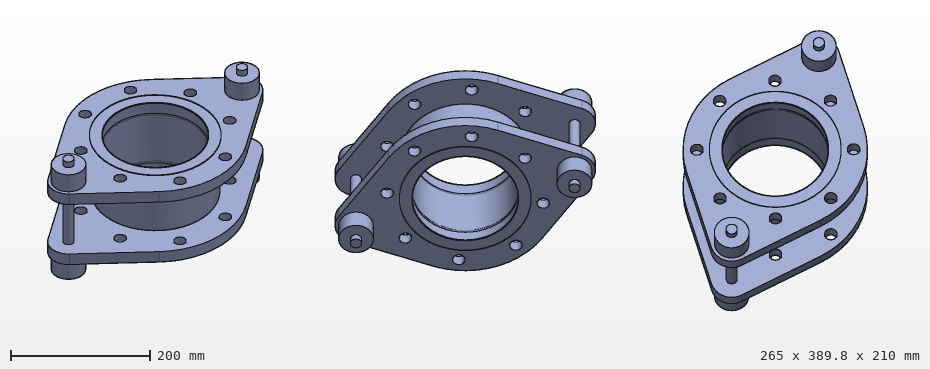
import cadquery as cq
import math

total_length = 389.8
flange_radius = 132.5
lug_radius = 30.0
lug_offset = total_length / 2 - lug_radius
flange_thickness = 19.0
flange_outer_z = 64.0

face_radius = 94.7
face_bore_radius = 76.8
face_outer_z = 65.0

bolt_count = 8
bolt_circle_radius = 112.5
bolt_hole_diameter = 18.0

bore_radius = 76.0
neck_radius = 77.0
body_radius = 93.0
body_half_height = 38.5
body_edge_round = 2.7
neck_root_round = 3.0

rod_diameter = 16.0
rod_half_length = 210.0 / 2
boss_diameter = 50.0
boss_outer_z = 94.7

lug_positions = [(0, lug_offset), (0, -lug_offset)]


def flange_outline(plane):
    """Middle arcs joined to the lug arcs by their common tangent lines."""
    tangent_angle = math.asin((flange_radius - lug_radius) / lug_offset)
    across = math.cos(tangent_angle)
    along = math.sin(tangent_angle)
    side_x = flange_radius * across
    side_y = flange_radius * along
    lug_x = lug_radius * across
    lug_y = lug_offset + lug_radius * along
    return (
        plane.moveTo(side_x, -side_y)
        .threePointArc((flange_radius, 0), (side_x, side_y))
        .lineTo(lug_x, lug_y)
        .threePointArc((0, total_length / 2), (-lug_x, lug_y))
        .lineTo(-side_x, side_y)
        .threePointArc((-flange_radius, 0), (-side_x, -side_y))
        .lineTo(-lug_x, -lug_y)
        .threePointArc((0, -total_length / 2), (lug_x, -lug_y))
        .close()
    )


def upper_flange():
    """Top flange with its sealing ring, bolt holes and rod bosses."""
    inner_z = flange_outer_z - flange_thickness
    plate = flange_outline(cq.Workplane("XY", origin=(0, 0, inner_z))).extrude(flange_thickness)
    face = (
        cq.Workplane("XY", origin=(0, 0, flange_outer_z))
        .circle(face_radius)
        .circle(face_bore_radius)
        .extrude(face_outer_z - flange_outer_z)
    )
    bosses = (
        cq.Workplane("XY", origin=(0, 0, flange_outer_z))
        .pushPoints(lug_positions)
        .circle(boss_diameter / 2)
        .extrude(boss_outer_z - flange_outer_z)
    )
    bolt_holes = (
        cq.Workplane("XY", origin=(0, 0, inner_z))
        .polarArray(bolt_circle_radius, 180 / bolt_count, 360, bolt_count)
        .circle(bolt_hole_diameter / 2)
        .extrude(flange_thickness)
    )
    return plate.union(face).union(bosses).cut(bolt_holes)


def upper_neck():
    """Neck above the body, flaring into it with a concave round."""
    root_z = body_half_height + neck_root_round
    root_radius = neck_radius + neck_root_round
    return (
        cq.Workplane("XZ")
        .moveTo(0, body_half_height)
        .lineTo(root_radius, body_half_height)
        .radiusArc((neck_radius, root_z), neck_root_round)
        .lineTo(neck_radius, flange_outer_z)
        .lineTo(0, flange_outer_z)
        .close()
        .revolve(360, (0, 0), (0, 1))
    )


def bellows_body():
    """Thick middle ring with rounded rims; the bore is cut later."""
    return (
        cq.Workplane("XY", origin=(0, 0, -body_half_height))
        .circle(body_radius)
        .extrude(2 * body_half_height)
        .edges()
        .fillet(body_edge_round)
    )


def tie_rods():
    """Two rods through the lugs and bosses of both flanges."""
    return (
        cq.Workplane("XY", origin=(0, 0, -rod_half_length))
        .pushPoints(lug_positions)
        .circle(rod_diameter / 2)
        .extrude(2 * rod_half_length)
    )


upper_end = upper_flange().union(upper_neck())
lower_end = upper_end.mirror("XY")
bore = (
    cq.Workplane("XY", origin=(0, 0, -flange_outer_z))
    .circle(bore_radius)
    .extrude(2 * flange_outer_z)
)
result = bellows_body().union(upper_end).union(lower_end).union(tie_rods()).cut(bore)